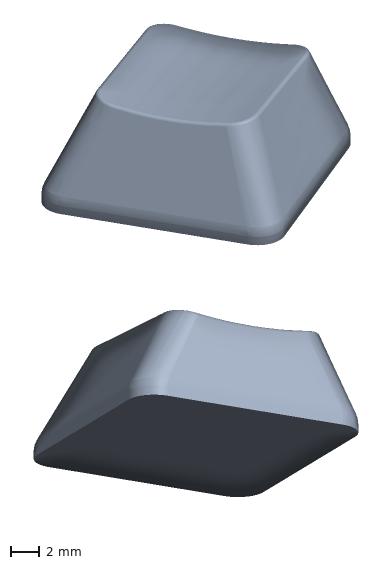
import cadquery as cq
import math

base_size = 18.16
base_corner_radius = 2.03
skirt_height = 0.67
blend_height = 0.65

side_slope = 0.46
front_slope = 0.5
back_slope = 0.078

top_width = 11.8
top_front_y = -5.52
top_back_y = 8.59
top_height = 7.8
top_corner_radius = 1.87

dish_radius = 31.96
dish_tilt = 3.1
dish_center_height = 6.97
dish_length = 54.48
top_edge_radius = 0.27


def rounded_outline(width, depth, radius, center_y, height, tilt=0):
    """Closed wire of a rounded rectangle whose plane falls toward the back by the tilt in degrees."""
    plane = cq.Plane(origin=(0, center_y, height)).rotated((-tilt, 0, 0))
    outline = cq.Sketch().rect(width, depth).vertices().fillet(radius).reset().faces().val()
    return outline.outerWire().moved(plane.location)


def wall_section(height, rise, radius):
    """Wall outline after leaning inward over the given effective rise."""
    width = base_size - 2 * side_slope * rise
    front_y = -base_size / 2 + front_slope * rise
    back_y = base_size / 2 - back_slope * rise
    return rounded_outline(width, back_y - front_y, radius, (front_y + back_y) / 2, height)


def make_skirt():
    return (
        cq.Workplane()
        .rect(base_size, base_size)
        .extrude(skirt_height)
        .edges("|Z")
        .fillet(base_corner_radius)
    )


def make_blend():
    """Parabolic bend, tangent to the skirt below and to the walls above."""
    sections = []
    for fraction in (0, 0.5, 1):
        height = skirt_height + fraction * blend_height
        rise = fraction**2 * blend_height / 2
        sections.append(wall_section(height, rise, base_corner_radius))
    return cq.Workplane(cq.Solid.makeLoft(sections))


def make_walls():
    start_height = skirt_height + blend_height
    start_rise = blend_height / 2
    bottom = wall_section(start_height, start_rise, base_corner_radius)
    center_y = (top_front_y + top_back_y) / 2
    slant = math.tan(math.radians(dish_tilt))
    top = rounded_outline(
        top_width,
        (top_back_y - top_front_y) / math.cos(math.radians(dish_tilt)),
        top_corner_radius,
        center_y,
        top_height - center_y * slant,
        dish_tilt,
    )
    return cq.Workplane(cq.Solid.makeLoft([bottom, top], True))


def make_dish():
    tilt = math.radians(dish_tilt)
    axis = cq.Vector(0, math.cos(tilt), -math.sin(tilt))
    axis_height = dish_center_height + dish_radius / math.cos(tilt)
    start = cq.Vector(0, 0, axis_height) - axis * (dish_length / 2)
    return cq.Workplane(cq.Solid.makeCylinder(dish_radius, dish_length, start, axis))


body = make_skirt().union(make_blend()).union(make_walls()).cut(make_dish())
result = body.faces(">Z").edges().fillet(top_edge_radius)